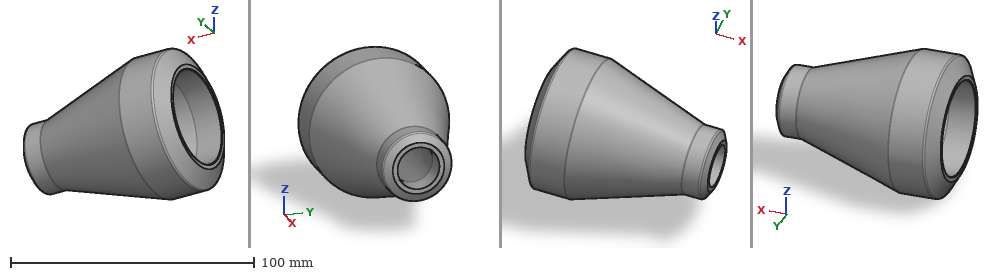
import cadquery as cq

length = 76.0
large_radius = 60.3 / 2
small_radius = 30.0 / 2
large_bore_radius = 40.3 / 2
small_bore_radius = 18.0 / 2

large_end_length = 20.15
small_end_length = 10.0
large_bore_depth = 11.9

rim_width = 2.05
large_bevel_length = 4.55
small_bevel_length = 2.2
mouth_chamfer = 0.3
edge_rounding = 1.0

large_face_radius = large_bore_radius + rim_width
small_face_radius = small_bore_radius + rim_width
small_end_start = length - small_end_length


def turned_body():
    """Sharp-edged reducer with its conical bore."""
    half_section = (
        cq.Workplane("XY")
        .moveTo(0, large_bore_radius + mouth_chamfer)
        .lineTo(0, large_face_radius)
        .lineTo(large_bevel_length, large_radius)
        .lineTo(large_end_length, large_radius)
        .lineTo(small_end_start, small_radius)
        .lineTo(length - small_bevel_length, small_radius)
        .lineTo(length, small_face_radius)
        .lineTo(length, small_bore_radius)
        .lineTo(small_end_start, small_bore_radius)
        .lineTo(large_bore_depth, large_bore_radius)
        .lineTo(mouth_chamfer, large_bore_radius)
        .close()
    )
    return half_section.revolve(360, (0, 0, 0), (1, 0, 0))


def bounds_outer_band(edge):
    """True for the circles that bound the two straight outer bands."""
    radius_tolerance = 0.01
    band_radii = (large_radius, small_radius)
    return any(abs(edge.radius() - radius) < radius_tolerance for radius in band_radii)


result = turned_body().edges("%CIRCLE").filter(bounds_outer_band).fillet(edge_rounding)